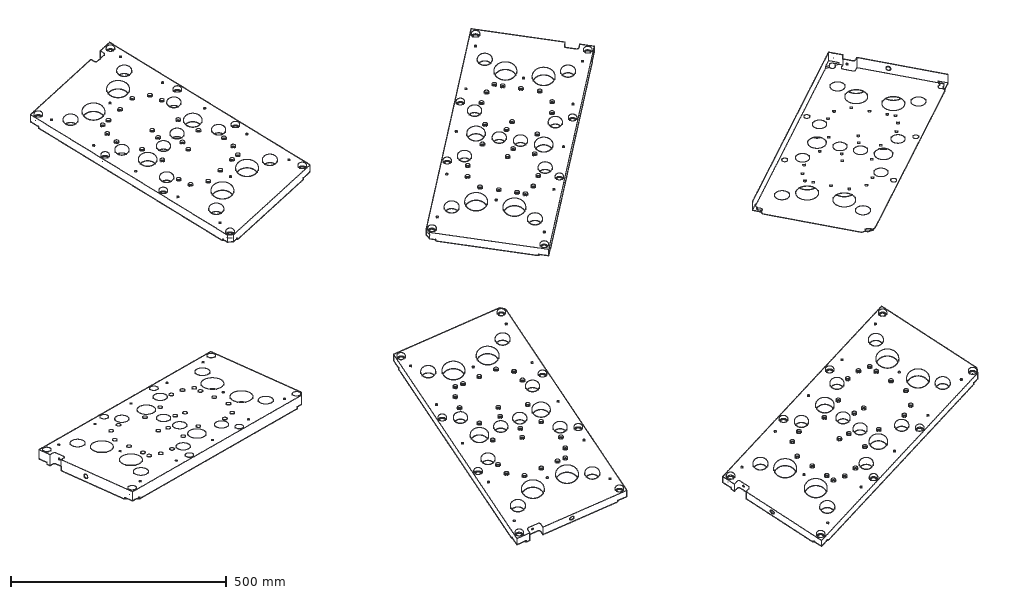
import cadquery as cq

LENGTH = 600.0
WIDTH = 290.0
THICKNESS = 30.0
CORNER_CHAMFER = 10.0

PRY_LEG = 25.0
PRY_DEPTH = 5.0

NOTCH_DEPTH = 15.0
NOTCH_WIDTH = 34.0
NOTCH_Y = 93.5
NOTCH_RADIUS = 5.0

FIXING_INSET = 13.0
FIXING_OUTER_X = LENGTH / 2 - FIXING_INSET
FIXING_INNER_X = 87.0
FIXING_Y = WIDTH / 2 - FIXING_INSET
FIXING_BORE = 14.0
FIXING_HEAD = 20.0
FIXING_HEAD_DEPTH = 13.0

SCREW_BORE = 6.5
SCREW_HEAD = 11.0
SCREW_HEAD_DEPTH = 7.0
SCREW_PLACES = [
    (-92.7, 82.5),
    (92.7, 83.2),
    (-124.1, 77.3),
    (125.1, 77.2),
    (32.0, 64.0),
    (150.4, 63.5),
    (-25.5, 60.0),
    (-149.4, 43.55),
    (149.4, 43.55),
    (26.2, 12.4),
    (50.9, 3.8),
    (149.5, 0.65),
]

QUADRANT_HOLES = [
    (53.0, 193.0, 45.0),
    (35.0, 218.0, 98.0),
    (33.0, 67.0, 95.0),
]
MIDDLE_HOLES = [
    (43.0, 2.0, 80.0),
    (33.0, 0.0, 25.0),
]

TAP_DIAMETER = 4.2
TAP_MOUTH = 5.0
TAP_DEPTH = 12.0
TAP_PITCH = 126.0
TAP_COLUMNS = 5
TAP_ROW_Y = 126.0
TAP_AXIS_X = 180.0
NOTCH_TAP_Y = 95.5
NOTCH_TAP_Z = 17.0

LIFTING_DIAMETER = 10.25
LIFTING_MOUTH = 12.0
LIFTING_DEPTH = 30.0
LIFTING_TIP_DIAMETER = 6.5
LIFTING_TIP_DEPTH = 40.0


def half_turn_pair(x, y):
    """The place and its copy turned half a turn about Z."""
    return [(x, y), (-x, -y)]


def four_quadrants(x, y):
    """The place mirrored into all four quadrants."""
    return half_turn_pair(x, y) + half_turn_pair(-x, y)


def make_plate():
    plate = cq.Workplane("XY").box(LENGTH, WIDTH, THICKNESS, centered=(True, True, False))
    return plate.edges("|Z and >X and <Y").chamfer(CORNER_CHAMFER)


def cut_pry_recesses(plate):
    for x, y in four_quadrants(LENGTH / 2, WIDTH / 2):
        inner_x = x - PRY_LEG if x > 0 else x + PRY_LEG
        inner_y = y - PRY_LEG if y > 0 else y + PRY_LEG
        triangle = cq.Workplane("XY").polyline([(x, y), (inner_x, y), (x, inner_y)]).close()
        plate = plate.cut(triangle.extrude(PRY_DEPTH))
    return plate


def cut_notch(plate):
    notch = (
        cq.Workplane("XY")
        .center(-LENGTH / 2, NOTCH_Y)
        .rect(2 * NOTCH_DEPTH, NOTCH_WIDTH)
        .extrude(THICKNESS)
        .edges("|Z and >X")
        .fillet(NOTCH_RADIUS)
    )
    return plate.cut(notch)


def cut_through_holes(plate, places, diameter):
    cutter = cq.Workplane("XY").pushPoints(places).circle(diameter / 2).extrude(THICKNESS)
    return plate.cut(cutter)


def cut_counterbored_holes(plate, places, bore, head, head_depth):
    plate = cut_through_holes(plate, places, bore)
    top = cq.Workplane("XY").workplane(offset=THICKNESS)
    return plate.cut(top.pushPoints(places).circle(head / 2).extrude(-head_depth))


def cut_tapping_hole(plate, mouth_centre, direction, diameter, mouth, depth):
    """Blind hole with a flat bottom and a 45 degree countersunk mouth."""
    start = cq.Vector(*mouth_centre)
    axis = cq.Vector(*direction)
    countersink_depth = (mouth - diameter) / 2
    bore = cq.Solid.makeCylinder(diameter / 2, depth, start, axis)
    countersink = cq.Solid.makeCone(mouth / 2, diameter / 2, countersink_depth, start, axis)
    return plate.cut(cq.Workplane(bore)).cut(cq.Workplane(countersink))


def cut_plain_holes(plate):
    for diameter, x, y in QUADRANT_HOLES:
        plate = cut_through_holes(plate, four_quadrants(x, y), diameter)
    for diameter, x, y in MIDDLE_HOLES:
        plate = cut_through_holes(plate, half_turn_pair(x, y), diameter)
    return plate


def cut_fixing_holes(plate):
    places = four_quadrants(FIXING_OUTER_X, FIXING_Y) + four_quadrants(FIXING_INNER_X, FIXING_Y)
    return cut_counterbored_holes(plate, places, FIXING_BORE, FIXING_HEAD, FIXING_HEAD_DEPTH)


def cut_screw_holes(plate):
    places = []
    for x, y in SCREW_PLACES:
        places += half_turn_pair(x, y)
    return cut_counterbored_holes(plate, places, SCREW_BORE, SCREW_HEAD, SCREW_HEAD_DEPTH)


def cut_top_taps(plate):
    places = half_turn_pair(TAP_AXIS_X, 0)
    for column in range(TAP_COLUMNS):
        x = (column - (TAP_COLUMNS - 1) / 2) * TAP_PITCH
        places += [(x, TAP_ROW_Y), (x, -TAP_ROW_Y)]
    for x, y in places:
        plate = cut_tapping_hole(
            plate, (x, y, THICKNESS), (0, 0, -1), TAP_DIAMETER, TAP_MOUTH, TAP_DEPTH
        )
    return plate


def cut_side_holes(plate):
    inward = (1, 0, 0)
    notch_wall = (-LENGTH / 2 + NOTCH_DEPTH, NOTCH_TAP_Y, NOTCH_TAP_Z)
    plate = cut_tapping_hole(plate, notch_wall, inward, TAP_DIAMETER, TAP_MOUTH, TAP_DEPTH)

    side_middle = (-LENGTH / 2, 0, THICKNESS / 2)
    plate = cut_tapping_hole(
        plate, side_middle, inward, LIFTING_DIAMETER, LIFTING_MOUTH, LIFTING_DEPTH
    )
    tip = cq.Workplane("YZ", origin=side_middle).circle(LIFTING_TIP_DIAMETER / 2)
    return plate.cut(tip.extrude(LIFTING_TIP_DEPTH))


result = make_plate()
result = cut_pry_recesses(result)
result = cut_notch(result)
result = cut_plain_holes(result)
result = cut_fixing_holes(result)
result = cut_screw_holes(result)
result = cut_top_taps(result)
result = cut_side_holes(result)